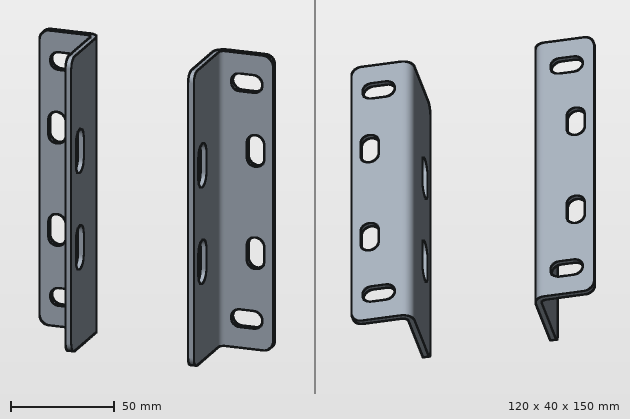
import cadquery as cq

pair_width = 120.0
leg_depth = 40.0
bracket_height = 150.0
flange_width = 30.0

sheet_thickness = 3.0
inner_bend_radius = 2.5
outer_bend_radius = inner_bend_radius + sheet_thickness
corner_radius = 5.0

flange_slot_length = 16.0
flange_slot_width = 9.0
cross_slot_setback = 13.5
cross_slot_spacing = 120.0
upright_slot_setback = 9.0
upright_slot_spacing = 52.0

leg_slot_length = 22.0
leg_slot_width = 11.0
leg_slot_setback = 12.0
leg_slot_spacing = 49.0

flange_edge_x = pair_width / 2
leg_face_x = flange_edge_x - flange_width
back_y = leg_depth / 2
leg_edge_y = -leg_depth / 2


def bent_sheet():
    """L-section with a rounded bend, and rounded corners at both free edges."""
    inner_x = leg_face_x + sheet_thickness
    inner_y = back_y - sheet_thickness
    sheet = (
        cq.Workplane("XY")
        .workplane(offset=-bracket_height / 2)
        .moveTo(leg_face_x, leg_edge_y)
        .lineTo(inner_x, leg_edge_y)
        .lineTo(inner_x, inner_y - inner_bend_radius)
        .radiusArc((inner_x + inner_bend_radius, inner_y), inner_bend_radius)
        .lineTo(flange_edge_x, inner_y)
        .lineTo(flange_edge_x, back_y)
        .lineTo(leg_face_x + outer_bend_radius, back_y)
        .radiusArc((leg_face_x, back_y - outer_bend_radius), -outer_bend_radius)
        .close()
        .extrude(bracket_height)
    )
    sheet = sheet.faces(">X").edges("|Y").fillet(corner_radius)
    return sheet.faces("<Y").edges("|X").fillet(corner_radius)


def flange_slots(setback, spacing, angle):
    """Pair of slot cutters through the flange; angle 0 lies along X, 90 along Z."""
    slot_x = flange_edge_x - setback
    return (
        cq.Workplane("XZ", origin=(0, back_y, 0))
        .pushPoints([(slot_x, -spacing / 2), (slot_x, spacing / 2)])
        .slot2D(flange_slot_length, flange_slot_width, angle)
        .extrude(sheet_thickness)
    )


def leg_slots():
    """Pair of upright slot cutters through the leg."""
    slot_y = leg_edge_y + leg_slot_setback
    return (
        cq.Workplane("YZ", origin=(leg_face_x, 0, 0))
        .pushPoints([(slot_y, -leg_slot_spacing / 2), (slot_y, leg_slot_spacing / 2)])
        .slot2D(leg_slot_length, leg_slot_width, 90)
        .extrude(sheet_thickness)
    )


def make_bracket():
    """Right-hand angle bracket with all its slots."""
    return (
        bent_sheet()
        .cut(flange_slots(cross_slot_setback, cross_slot_spacing, 0))
        .cut(flange_slots(upright_slot_setback, upright_slot_spacing, 90))
        .cut(leg_slots())
    )


right_bracket = make_bracket()
left_bracket = right_bracket.mirror("YZ")

result = cq.Compound.makeCompound([right_bracket.val(), left_bracket.val()])